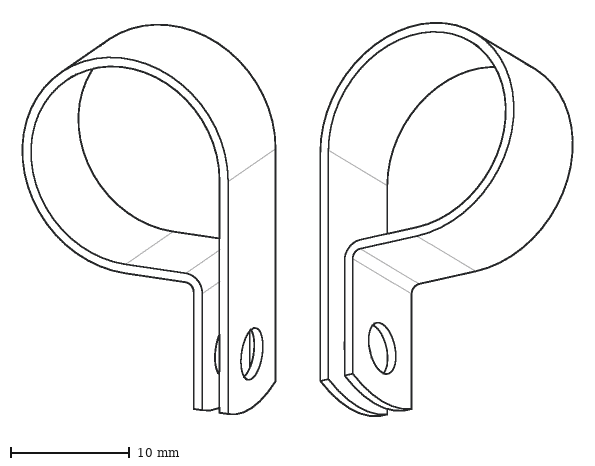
import cadquery as cq
import math

loop_diameter = 19.1
strap_width = 9.53
total_height = 31.15
thickness = 0.8

leg_gap = 1.6
bend_outer_radius = 1.55
hole_diameter = 4.4
hole_height = 4.8
tip_sag = 0.9

outer_radius = loop_diameter / 2
inner_radius = outer_radius - thickness
bend_inner_radius = bend_outer_radius - thickness
tip_z = outer_radius - total_height
short_leg_outer_x = inner_radius - leg_gap
short_leg_inner_x = short_leg_outer_x - thickness
bend_x = short_leg_outer_x - bend_outer_radius
bend_z = -inner_radius - bend_outer_radius
diagonal = math.sqrt(0.5)


def strap():
    """Bent strap: long leg, three-quarter loop, flat run, bend and short leg."""
    return (
        cq.Workplane("XZ")
        .moveTo(outer_radius, tip_z)
        .lineTo(outer_radius, 0)
        .threePointArc((-outer_radius * diagonal, outer_radius * diagonal), (0, -outer_radius))
        .lineTo(bend_x, -outer_radius)
        .threePointArc(
            (bend_x + bend_inner_radius * diagonal, bend_z + bend_inner_radius * diagonal),
            (short_leg_inner_x, bend_z),
        )
        .lineTo(short_leg_inner_x, tip_z)
        .lineTo(short_leg_outer_x, tip_z)
        .lineTo(short_leg_outer_x, bend_z)
        .threePointArc(
            (bend_x + bend_outer_radius * diagonal, bend_z + bend_outer_radius * diagonal),
            (bend_x, -inner_radius),
        )
        .lineTo(0, -inner_radius)
        .threePointArc((-inner_radius * diagonal, inner_radius * diagonal), (inner_radius, 0))
        .lineTo(inner_radius, tip_z)
        .close()
        .extrude(strap_width / 2, both=True)
    )


def rounded_tip_envelope():
    """Strap-wide block whose lower end is the arc of the leg tips."""
    half_width = strap_width / 2
    return (
        cq.Workplane("YZ")
        .moveTo(-half_width, outer_radius)
        .lineTo(-half_width, tip_z + tip_sag)
        .threePointArc((0, tip_z), (half_width, tip_z + tip_sag))
        .lineTo(half_width, outer_radius)
        .close()
        .extrude(outer_radius, both=True)
    )


def screw_hole():
    """Cylinder along X that passes through both legs."""
    return (
        cq.Workplane("YZ")
        .center(0, tip_z + hole_height)
        .circle(hole_diameter / 2)
        .extrude(loop_diameter)
    )


result = strap().intersect(rounded_tip_envelope()).cut(screw_hole())